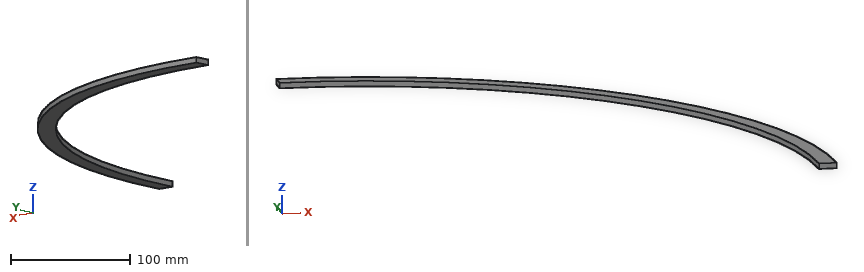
import cadquery as cq

outer_radius = 400.0
strip_width = 15.0
thickness = 5.0
inner_radius = outer_radius - strip_width

quadrant = cq.Workplane("XY").rect(outer_radius, outer_radius, centered=False).extrude(thickness)

ring = cq.Workplane("XY").circle(outer_radius).circle(inner_radius).extrude(thickness)

result = ring.intersect(quadrant)